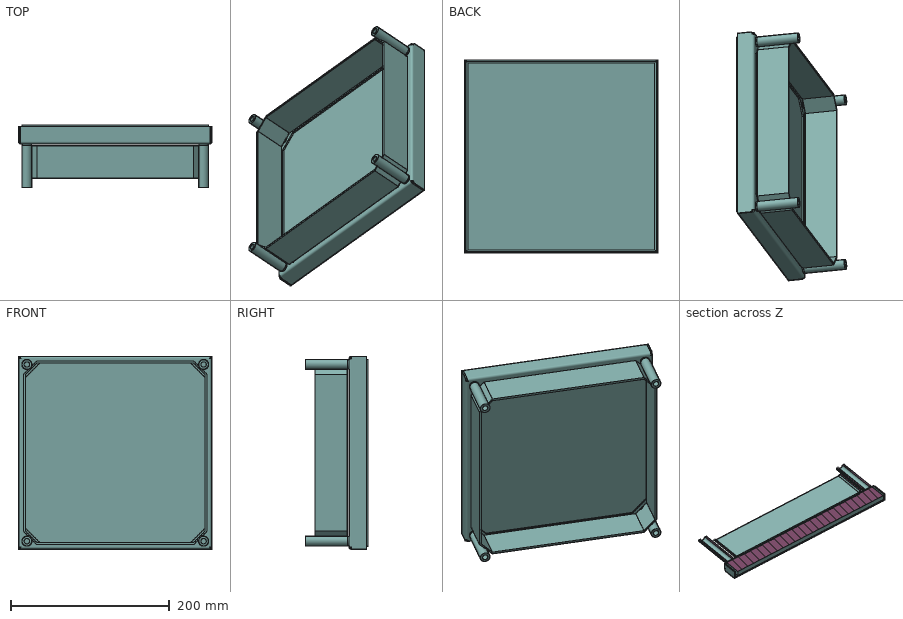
import cadquery as cq
import math

COVER_SIZE = 243.0
COVER_DEPTH = 22.0
SHEET = 2.0
BEND_RADIUS = 3.0
CORNER_SLIT = 0.12
FLANGE_CORNER_RADIUS = 2.0

PANEL_SIZE = 235.2
PANEL_PROUD = 2.0

COLLAR_SIZE = 231.0
COLLAR_FLAT = 197.3
COLLAR_WALL = 2.7
COLLAR_GAP = 2.0
COLLAR_FRONT = 43.0

WINDOW_SIZE = COLLAR_SIZE - 2 * COLLAR_WALL
WINDOW_FLAT = 190.0

SLEEVE_SPACING = 222.3
SLEEVE_DIAMETER = 12.6
SLEEVE_BORE = 6.8
SLEEVE_FRONT = 55.0
NECK_DIAMETER = 12.0

HALF_COVER = COVER_SIZE / 2
HALF_PLATE = HALF_COVER - BEND_RADIUS
SLEEVE_CENTRES = [
    (i * SLEEVE_SPACING / 2, j * SLEEVE_SPACING / 2) for i in (-1, 1) for j in (-1, 1)
]


def box(x_size, z_size, y_start, y_end):
    """Box centred on the Y axis, from y_start to y_end."""
    return front_sketch(y_start).rect(x_size, z_size).extrude(y_start - y_end)


def front_sketch(y):
    """Sketch plane facing -Y at the given y, with +X right and +Z up."""
    return cq.Workplane("XZ", origin=(0, y, 0))


def octagon(size, flat, y_start, y_end):
    """Square prism with cut corners; flat is the length left on each long side."""
    return box(size, size, y_start, y_end).edges("|Y").chamfer((size - flat) / 2)


def bend(length):
    """Quarter-round bend along the top edge of the plate."""
    inner_radius = BEND_RADIUS - SHEET
    diagonal = math.sqrt(0.5)
    return (
        cq.Workplane("YZ", origin=(-length / 2, BEND_RADIUS, HALF_PLATE))
        .moveTo(-BEND_RADIUS, 0)
        .threePointArc((-BEND_RADIUS * diagonal, BEND_RADIUS * diagonal), (0, BEND_RADIUS))
        .lineTo(0, inner_radius)
        .threePointArc((-inner_radius * diagonal, inner_radius * diagonal), (-inner_radius, 0))
        .close()
        .extrude(length)
    )


def flange(length):
    """Flat flange behind the bend along the top edge."""
    flat = box(length, SHEET, BEND_RADIUS, COVER_DEPTH)
    return flat.translate((0, 0, HALF_COVER - SHEET / 2))


def make_cover():
    end_length = COVER_SIZE - 2 * (SHEET + CORNER_SLIT)
    end_edge = flange(end_length).union(bend(end_length))
    rounded_flange = flange(COVER_SIZE).edges("|Z and <Y").fillet(FLANGE_CORNER_RADIUS)
    side_edge = rounded_flange.union(bend(2 * HALF_PLATE))

    cover = box(2 * HALF_PLATE, 2 * HALF_PLATE, 0, SHEET)
    for edge, angle in ((end_edge, 0), (side_edge, 90), (end_edge, 180), (side_edge, 270)):
        cover = cover.union(edge.rotate((0, 0, 0), (0, 1, 0), angle))
    return cover.cut(octagon(WINDOW_SIZE, WINDOW_FLAT, 0, SHEET))


def make_panel():
    return box(PANEL_SIZE, PANEL_SIZE, SHEET, COVER_DEPTH + PANEL_PROUD)


def make_collar():
    outside = octagon(COLLAR_SIZE, COLLAR_FLAT, -COLLAR_FRONT, -COLLAR_GAP)
    inside = octagon(WINDOW_SIZE, COLLAR_FLAT, -COLLAR_FRONT, -COLLAR_GAP)
    grooves = (
        front_sketch(-COLLAR_GAP)
        .pushPoints(SLEEVE_CENTRES)
        .circle(SLEEVE_DIAMETER / 2)
        .extrude(COLLAR_FRONT - COLLAR_GAP)
    )
    return outside.cut(inside).cut(grooves)


def make_sleeve(x, z):
    neck = front_sketch(0).circle(NECK_DIAMETER / 2).extrude(COLLAR_GAP)
    barrel = (
        front_sketch(-COLLAR_GAP).circle(SLEEVE_DIAMETER / 2).extrude(SLEEVE_FRONT - COLLAR_GAP)
    )
    bore = front_sketch(0).circle(SLEEVE_BORE / 2).extrude(SLEEVE_FRONT)
    return neck.union(barrel).cut(bore).translate((x, 0, z))


cover = make_cover()
panel = make_panel()
collar = make_collar()
sleeves = [make_sleeve(x, z) for x, z in SLEEVE_CENTRES]

result = cq.Compound.makeCompound(
    [cover.val(), panel.val(), collar.val(), *[sleeve.val() for sleeve in sleeves]]
)